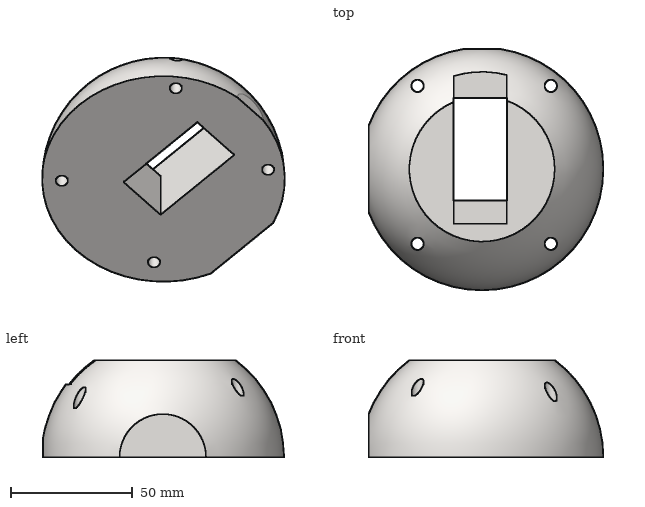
import cadquery as cq

dome_radius = 49.9
height = 40.0
left_flat = 46.7
back_flat = 49.3

slot_left = -11.7
slot_right = 10.2
window_front = -12.9
window_back = 29.1
recess_front = -22.5
recess_depth = 10.0

hole_diameter = 5.0
hole_columns = (-26.5, 28.3)
hole_rows = (-30.8, 34.1)


def block(x_range, y_range, z_range):
    """Axis-aligned box spanning the given ranges."""
    (x0, x1), (y0, y1), (z0, z1) = x_range, y_range, z_range
    return cq.Workplane("XY").box(x1 - x0, y1 - y0, z1 - z0, centered=False).translate((x0, y0, z0))


def truncated_dome():
    """Sphere cut flat at the bottom, top, -X side and +Y side."""
    envelope = block((-left_flat, dome_radius), (-dome_radius, back_flat), (0, height))
    return cq.Workplane("XY").sphere(dome_radius).intersect(envelope)


def stepped_slot():
    """Through window with a shallow recess that runs out of the dome towards +Y."""
    slot_width = (slot_left, slot_right)
    window = block(slot_width, (window_front, window_back), (0, height))
    recess = block(slot_width, (recess_front, dome_radius), (height - recess_depth, height))
    return window.union(recess)


def screw_holes():
    """Four vertical cylinders through the full height."""
    centres = [(x, y) for x in hole_columns for y in hole_rows]
    return cq.Workplane("XY").pushPoints(centres).circle(hole_diameter / 2).extrude(height)


result = truncated_dome().cut(stepped_slot()).cut(screw_holes())